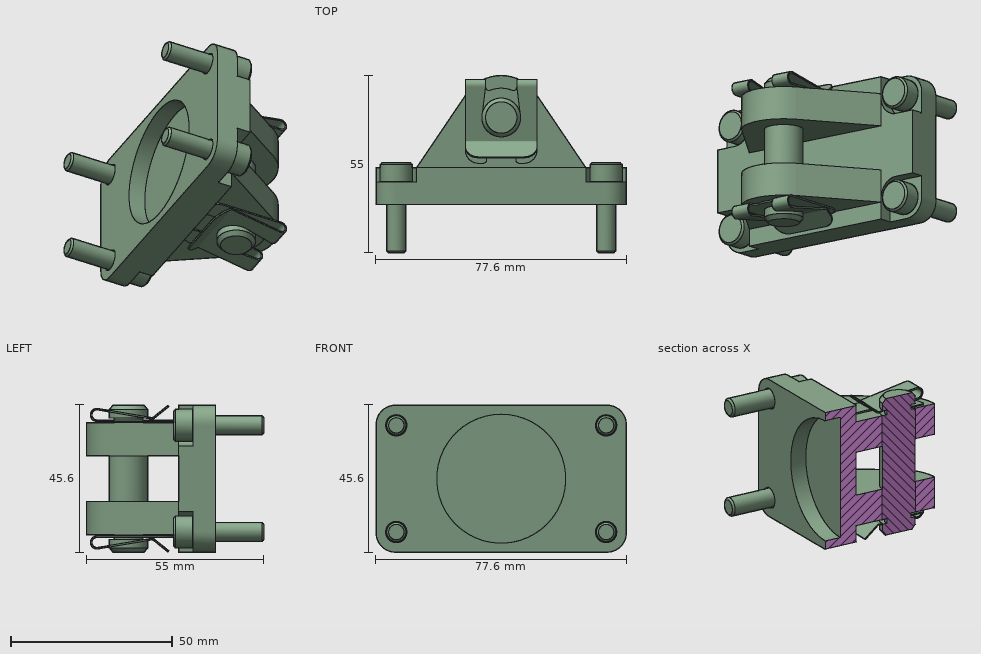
import cadquery as cq
import math

PLATE_WIDTH = 77.6
PLATE_HEIGHT = 45.6
PLATE_DEPTH = 11.5
PLATE_CORNER_RADIUS = 6.05
BORE_DIAMETER = 40.0
BORE_DEPTH = 5.5

SEAT_WIDTH = 12.6
SEAT_HEIGHT = 12.7
SEAT_FLOOR = 7.0
SEAT_CORNER_RADIUS = 6.0

SCREW_X = 32.5
SCREW_Z = 16.5
SCREW_HOLE_DIAMETER = 6.6
SHANK_DIAMETER = 6.0
SHANK_LENGTH = 21.95
SHANK_CHAMFER = 0.6
HEAD_DIAMETER = 10.0
HEAD_HEIGHT = 6.05
HEAD_TOP_CHAMFER = 0.6
HEAD_SEAT_CHAMFER = 0.2

LUG_INNER_Z = 7.1
LUG_OUTER_Z = 17.4
LUG_END_RADIUS = 13.0
LUG_BASE_HALF_WIDTH = PLATE_WIDTH / 2 - SEAT_WIDTH
PIN_Y = 27.0

PIN_DIAMETER = 12.0
PIN_LENGTH = PLATE_HEIGHT
PIN_CHAMFER_LENGTH = 1.4
PIN_CHAMFER_DEPTH = 1.2
GROOVE_DIAMETER = 9.0
GROOVE_OUTER_Z = 18.8

CLIP_WIDTH = 22.2
CLIP_THICKNESS = 0.505
CLIP_GAP = 0.35
CLIP_BASE_END_Y = 12.8
CLIP_CORNER_RADIUS = 4.0
LOOP_CENTER_Y = 36.8
LOOP_RADIUS = 1.8
LEAF_ANGLE = math.radians(9.6)
BEND_Y = 19.5
BEND_RADIUS = 0.5
FLAP_ANGLE = math.radians(38.8)
FLAP_RUN = 4.8
SLOT_MOUTH_RADIUS = 1.2
WINDOW_WIDTH = 9.6
WINDOW_END_RADIUS = 9.1
WINDOW_CORNER_RADIUS = 1.0

CLIP_BASE_Z = LUG_OUTER_Z + CLIP_GAP + CLIP_THICKNESS / 2
CLIP_BASE_TOP = CLIP_BASE_Z + CLIP_THICKNESS / 2
LOOP_CENTER_Z = CLIP_BASE_Z + LOOP_RADIUS

SCREW_POSITIONS = [(x, z) for x in (-SCREW_X, SCREW_X) for z in (-SCREW_Z, SCREW_Z)]


def y_cylinder(diameter, start_y, end_y, x=0, z=0):
    """Cylinder along +Y between two y positions."""
    axis_start = cq.Vector(x, start_y, z)
    return cq.Workplane(cq.Solid.makeCylinder(diameter / 2, end_y - start_y, axis_start, cq.Vector(0, 1, 0)))


def pin_cylinder(diameter, bottom_z, top_z):
    """Cylinder on the pin axis between two heights."""
    return (
        cq.Workplane("XY", origin=(0, PIN_Y, bottom_z))
        .circle(diameter / 2)
        .extrude(top_z - bottom_z)
    )


def make_plate():
    plate = (
        cq.Workplane("XY")
        .box(PLATE_WIDTH, PLATE_DEPTH, PLATE_HEIGHT, centered=(True, False, True))
        .edges("|Y")
        .fillet(PLATE_CORNER_RADIUS)
    )
    seat_depth = PLATE_DEPTH - SEAT_FLOOR
    for side_x in (-1, 1):
        for side_z in (-1, 1):
            seat = (
                cq.Workplane("XY")
                .box(2 * SEAT_WIDTH, seat_depth, 2 * SEAT_HEIGHT, centered=(True, False, True))
                .edges("|Y")
                .fillet(SEAT_CORNER_RADIUS)
                .translate((side_x * PLATE_WIDTH / 2, SEAT_FLOOR, side_z * PLATE_HEIGHT / 2))
            )
            plate = plate.cut(seat)
    for x, z in SCREW_POSITIONS:
        plate = plate.cut(y_cylinder(SCREW_HOLE_DIAMETER, 0, PLATE_DEPTH, x, z))
    return plate.cut(y_cylinder(BORE_DIAMETER, 0, BORE_DEPTH))


def make_lug(bottom_z):
    rise = PIN_Y - PLATE_DEPTH
    corner_distance = math.hypot(LUG_BASE_HALF_WIDTH, rise)
    tangent_angle = math.acos(LUG_END_RADIUS / corner_distance) - math.atan2(rise, LUG_BASE_HALF_WIDTH)
    tangent_x = LUG_END_RADIUS * math.cos(tangent_angle)
    tangent_y = PIN_Y + LUG_END_RADIUS * math.sin(tangent_angle)
    return (
        cq.Workplane("XY", origin=(0, 0, bottom_z))
        .moveTo(-LUG_BASE_HALF_WIDTH, PLATE_DEPTH)
        .lineTo(LUG_BASE_HALF_WIDTH, PLATE_DEPTH)
        .lineTo(tangent_x, tangent_y)
        .threePointArc((0, PIN_Y + LUG_END_RADIUS), (-tangent_x, tangent_y))
        .close()
        .extrude(LUG_OUTER_Z - LUG_INNER_Z)
    )


def make_bracket():
    bracket = make_plate()
    for bottom_z in (LUG_INNER_Z, -LUG_OUTER_Z):
        bracket = bracket.union(make_lug(bottom_z))
    return bracket.cut(pin_cylinder(PIN_DIAMETER, -LUG_OUTER_Z, LUG_OUTER_Z))


def make_pin():
    half_length = PIN_LENGTH / 2
    pin = (
        pin_cylinder(PIN_DIAMETER, -half_length, half_length)
        .faces(">Z")
        .chamfer(PIN_CHAMFER_LENGTH, PIN_CHAMFER_DEPTH)
        .faces("<Z")
        .chamfer(PIN_CHAMFER_LENGTH, PIN_CHAMFER_DEPTH)
    )
    for bottom_z in (LUG_OUTER_Z, -GROOVE_OUTER_Z):
        top_z = bottom_z + GROOVE_OUTER_Z - LUG_OUTER_Z
        ring = pin_cylinder(PIN_DIAMETER, bottom_z, top_z).cut(
            pin_cylinder(GROOVE_DIAMETER, bottom_z, top_z)
        )
        pin = pin.cut(ring)
    return pin


def make_screw(x, z):
    shank = (
        y_cylinder(SHANK_DIAMETER, SEAT_FLOOR - SHANK_LENGTH, SEAT_FLOOR, x, z)
        .faces("<Y")
        .chamfer(SHANK_CHAMFER)
    )
    head = (
        y_cylinder(HEAD_DIAMETER, SEAT_FLOOR, SEAT_FLOOR + HEAD_HEIGHT, x, z)
        .faces(">Y")
        .chamfer(HEAD_TOP_CHAMFER)
        .faces("<Y")
        .chamfer(HEAD_SEAT_CHAMFER)
    )
    return shank.union(head)


def make_clip_strip():
    """Bent strip without openings, following the middle line of the sheet."""
    leaf_start_y = LOOP_CENTER_Y - LOOP_RADIUS * math.sin(LEAF_ANGLE)
    leaf_start_z = LOOP_CENTER_Z + LOOP_RADIUS * math.cos(LEAF_ANGLE)
    bend_z = leaf_start_z - (leaf_start_y - BEND_Y) * math.tan(LEAF_ANGLE)
    bend_setback = BEND_RADIUS * math.tan((LEAF_ANGLE + FLAP_ANGLE) / 2)
    leaf_end = (
        BEND_Y + bend_setback * math.cos(LEAF_ANGLE),
        bend_z + bend_setback * math.sin(LEAF_ANGLE),
    )
    flap_start = (
        BEND_Y - bend_setback * math.cos(FLAP_ANGLE),
        bend_z + bend_setback * math.sin(FLAP_ANGLE),
    )
    flap_end = (BEND_Y - FLAP_RUN, bend_z + FLAP_RUN * math.tan(FLAP_ANGLE))
    middle_line = (
        cq.Workplane("YZ")
        .moveTo(CLIP_BASE_END_Y, CLIP_BASE_Z)
        .lineTo(LOOP_CENTER_Y, CLIP_BASE_Z)
        .threePointArc((LOOP_CENTER_Y + LOOP_RADIUS, LOOP_CENTER_Z), (leaf_start_y, leaf_start_z))
        .lineTo(*leaf_end)
        .tangentArcPoint(flap_start, relative=False)
        .lineTo(*flap_end)
    )
    strip = (
        cq.Workplane("XZ", origin=(0, CLIP_BASE_END_Y, CLIP_BASE_Z))
        .rect(CLIP_WIDTH, CLIP_THICKNESS)
        .sweep(middle_line)
    )
    flap_normal = cq.Vector(0, math.sin(FLAP_ANGLE), math.cos(FLAP_ANGLE))
    return (
        strip.edges("|Z")
        .fillet(CLIP_CORNER_RADIUS)
        .edges(cq.selectors.ParallelDirSelector(flap_normal))
        .fillet(CLIP_CORNER_RADIUS)
    )


def make_base_slot():
    """Open slot in the clip base that grips the pin groove, with rounded mouth corners."""
    half_width = GROOVE_DIAMETER / 2
    mouth_half_width = half_width + SLOT_MOUTH_RADIUS
    mouth_start_y = CLIP_BASE_END_Y + SLOT_MOUTH_RADIUS
    return (
        cq.Workplane("XY", origin=(0, 0, LUG_OUTER_Z))
        .moveTo(-mouth_half_width, CLIP_BASE_END_Y)
        .lineTo(mouth_half_width, CLIP_BASE_END_Y)
        .radiusArc((half_width, mouth_start_y), SLOT_MOUTH_RADIUS)
        .lineTo(half_width, PIN_Y)
        .threePointArc((0, PIN_Y + half_width), (-half_width, PIN_Y))
        .lineTo(-half_width, mouth_start_y)
        .radiusArc((-mouth_half_width, CLIP_BASE_END_Y), SLOT_MOUTH_RADIUS)
        .close()
        .extrude(CLIP_BASE_TOP - LUG_OUTER_Z)
    )


def make_leaf_window():
    """Pin hole in the leaf, with a slot that narrows towards the loop."""
    window_height = 2 * (LOOP_RADIUS + CLIP_THICKNESS)
    taper = (
        cq.Workplane("XY", origin=(0, 0, CLIP_BASE_TOP))
        .moveTo(-PIN_DIAMETER / 2, PIN_Y)
        .lineTo(PIN_DIAMETER / 2, PIN_Y)
        .lineTo(WINDOW_WIDTH / 2, LOOP_CENTER_Y)
        .lineTo(-WINDOW_WIDTH / 2, LOOP_CENTER_Y)
        .close()
        .extrude(window_height)
    )
    return taper.union(pin_cylinder(PIN_DIAMETER, CLIP_BASE_TOP, CLIP_BASE_TOP + window_height))


def make_loop_window():
    """Opening through the loop that ends in the base on an arc around the pin."""
    window_length = LOOP_CENTER_Y + LOOP_RADIUS + CLIP_THICKNESS - PIN_Y
    window_height = 2 * (LOOP_RADIUS + CLIP_THICKNESS)
    return (
        cq.Workplane("XY", origin=(0, PIN_Y, LUG_OUTER_Z))
        .box(WINDOW_WIDTH, window_length, window_height, centered=(True, False, False))
        .cut(pin_cylinder(2 * WINDOW_END_RADIUS, LUG_OUTER_Z, LUG_OUTER_Z + window_height))
        .edges("|Z and (not >Y)")
        .fillet(WINDOW_CORNER_RADIUS)
    )


def make_clip():
    return make_clip_strip().cut(make_base_slot()).cut(make_leaf_window()).cut(make_loop_window())


bracket = make_bracket()
pin = make_pin()
screws = [make_screw(x, z) for x, z in SCREW_POSITIONS]
upper_clip = make_clip()
lower_clip = upper_clip.mirror("XY")

result = cq.Compound.makeCompound(
    [
        bracket.val(),
        pin.val(),
        *[screw.val() for screw in screws],
        upper_clip.val(),
        lower_clip.val(),
    ]
)